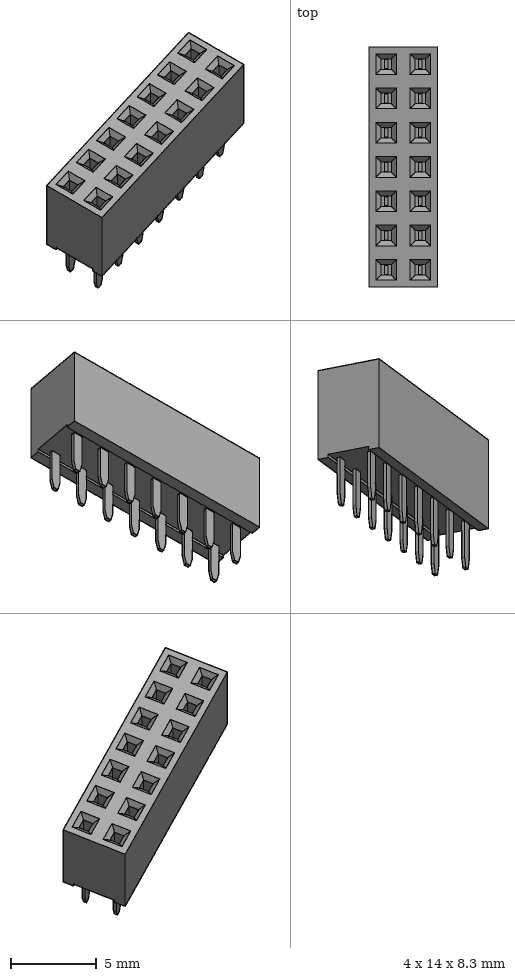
import cadquery as cq

rows = 7
columns = 2
body_length = 14.0
pitch = body_length / rows

body_width = columns * pitch
body_height = 5.6
foot_width = 0.67
foot_height = 0.2

funnel_size = 1.2
well_size = 0.6
funnel_depth = (funnel_size - well_size) / 2
well_depth = 2.8

pin_thickness = 0.2
pin_width = 0.6
pin_length = 2.7
tip_width = 0.3
tip_height = 0.6

head_height = 0.56
head_end_width = 0.52
head_taper = 0.14


def make_housing():
    """Block with its underside at Z = 0, relieved to leave a foot along each long side."""
    block = cq.Workplane("XY").box(body_width, body_length, body_height, centered=(True, True, False))
    relief_width = body_width - 2 * foot_width
    relief = cq.Workplane("XY").box(relief_width, body_length, foot_height, centered=(True, True, False))
    return block.cut(relief)


def make_socket():
    """Volume removed for one socket, centred on the Z axis."""
    funnel = (
        cq.Workplane("XY", origin=(0, 0, body_height))
        .rect(funnel_size, funnel_size)
        .workplane(offset=-funnel_depth)
        .rect(well_size, well_size)
        .loft(ruled=True)
    )
    well = cq.Workplane("XY", origin=(0, 0, body_height)).rect(well_size, well_size).extrude(-well_depth)
    return funnel.union(well)


def make_pin():
    """Flat pin centred on the Z axis, narrowing to a blunt tip below and a short taper above."""
    head_top = body_height - well_depth + head_height
    right_edge = [
        (tip_width / 2, -pin_length),
        (pin_width / 2, tip_height - pin_length),
        (pin_width / 2, head_top - head_taper),
        (head_end_width / 2, head_top),
    ]
    left_edge = [(-y, z) for y, z in reversed(right_edge)]
    profile = cq.Workplane("YZ").polyline(right_edge + left_edge).close()
    return profile.extrude(pin_thickness / 2, both=True)


contact_grid = cq.Workplane("XY").rarray(pitch, pitch, columns, rows)
sockets = contact_grid.eachpoint(lambda place: make_socket().val().moved(place))
pins = contact_grid.eachpoint(lambda place: make_pin().val().moved(place))

result = make_housing().cut(sockets).union(pins)